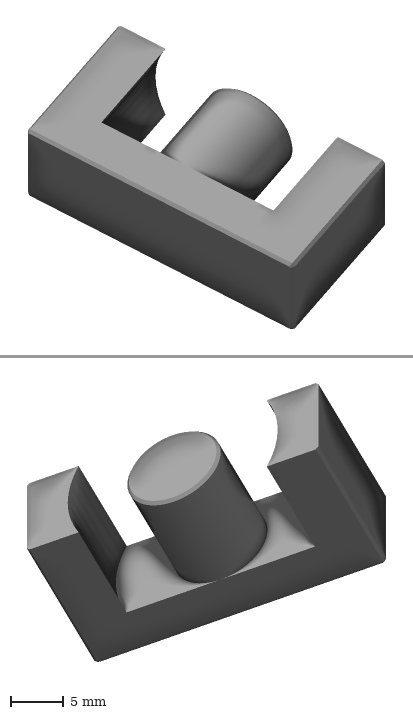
import cadquery as cq

width = 30.6
depth = 15.8
height = 9.8

back_thickness = 4.77
winding_diameter = 22.03
post_diameter = 9.8
edge_chamfer = 0.3

winding_depth = depth - back_thickness


def make_body():
    """Block with its back face and its long side edges chamfered."""
    block = cq.Workplane("XY").box(width, depth, height, centered=(True, False, True))
    return block.edges("|Y").chamfer(edge_chamfer).faces("<Y").edges().chamfer(edge_chamfer)


def cylinder_to_open_end(diameter):
    """Cylinder along +Y from the inner face of the back wall to the leg tips."""
    inner_face = cq.Workplane("XZ", origin=(0, back_thickness, 0))
    return inner_face.circle(diameter / 2).extrude(-winding_depth)


def make_post():
    """Round centre post with a chamfered tip."""
    return cylinder_to_open_end(post_diameter).faces(">Y").edges().chamfer(edge_chamfer)


result = make_body().cut(cylinder_to_open_end(winding_diameter)).union(make_post())